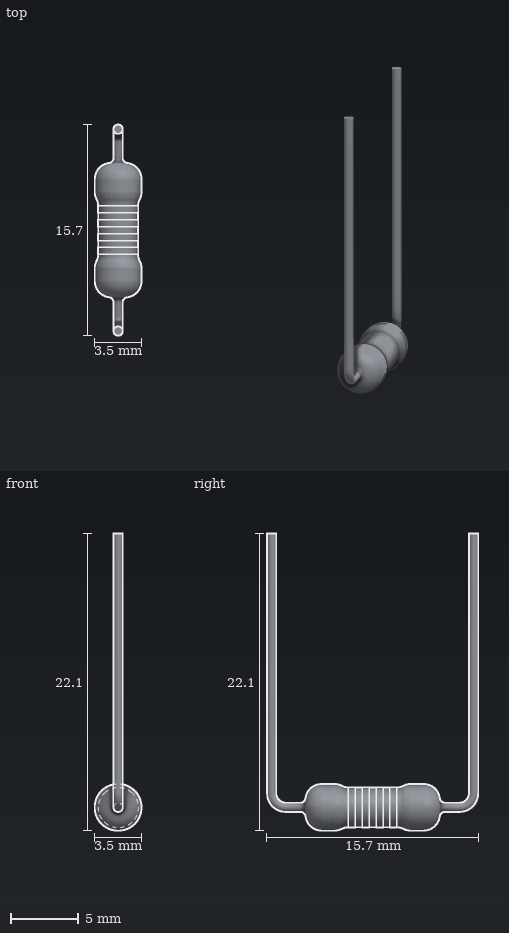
import cadquery as cq
import math


body_length = 10.02
cap_radius = 3.5 / 2
cap_inner_end = 2.82
dome_radius = 1.23
neck_radius = 2.98 / 2

band_radius = 3.0 / 2
band_count = 4
band_width = 0.515

wire_radius = 0.7 / 2
lead_spacing = 15.0
lead_top = 20.35
bend_radius = 3 * wire_radius
flare_radius = 0.35

dome_start = body_length / 2 - dome_radius
neck_half = (2 * band_count - 1) * band_width / 2
shoulder_middle = (cap_inner_end + neck_half) / 2
shoulder_middle_radius = (cap_radius + neck_radius) / 2
lead_y = lead_spacing / 2

dome_centre_radius = cap_radius - dome_radius
flare_offset = wire_radius + flare_radius - dome_centre_radius
centre_distance = dome_radius + flare_radius
flare_end = dome_start + math.sqrt(centre_distance**2 - flare_offset**2)
touch_ratio = dome_radius / centre_distance
dome_end_radius = dome_centre_radius + flare_offset * touch_ratio
dome_end = dome_start + (flare_end - dome_start) * touch_ratio


def shoulder_arc_radius():
    """Radius of the two equal tangent arcs that join the cap to the neck."""
    run = cap_inner_end - shoulder_middle
    rise = cap_radius - shoulder_middle_radius
    return (run**2 + rise**2) / (2 * rise)


def body_end():
    """Cap at +Y: shoulder, cylinder, dome and the flare onto the wire, revolved about Y."""
    arc_radius = shoulder_arc_radius()
    profile = (
        cq.Workplane("XY")
        .moveTo(0, neck_half)
        .lineTo(neck_radius, neck_half)
        .radiusArc((shoulder_middle_radius, shoulder_middle), arc_radius)
        .radiusArc((cap_radius, cap_inner_end), -arc_radius)
        .lineTo(cap_radius, dome_start)
        .radiusArc((dome_end_radius, dome_end), -dome_radius)
        .radiusArc((wire_radius, flare_end), flare_radius)
        .lineTo(0, flare_end)
        .close()
    )
    return profile.revolve(360, (0, 0, 0), (0, 1, 0))


def neck():
    """Plain cylinder between the two caps."""
    profile = cq.Workplane("XY").rect(neck_radius, 2 * neck_half, centered=(False, True))
    return profile.revolve(360, (0, 0, 0), (0, 1, 0))


def band(index):
    """One raised colour band around the neck."""
    start = -neck_half + 2 * index * band_width
    return cq.Workplane("XZ", origin=(0, start, 0)).circle(band_radius).extrude(-band_width)


def lead():
    """Wire leaving the body at +Y and bent up to its end."""
    path = (
        cq.Workplane("YZ")
        .moveTo(flare_end, 0)
        .lineTo(lead_y - bend_radius, 0)
        .tangentArcPoint((lead_y, bend_radius), relative=False)
        .lineTo(lead_y, lead_top)
    )
    return cq.Workplane("XZ", origin=(0, flare_end, 0)).circle(wire_radius).sweep(path)


end = body_end().union(lead())
result = neck().union(end).union(end.mirror("XZ"))
for band_index in range(band_count):
    result = result.union(band(band_index))